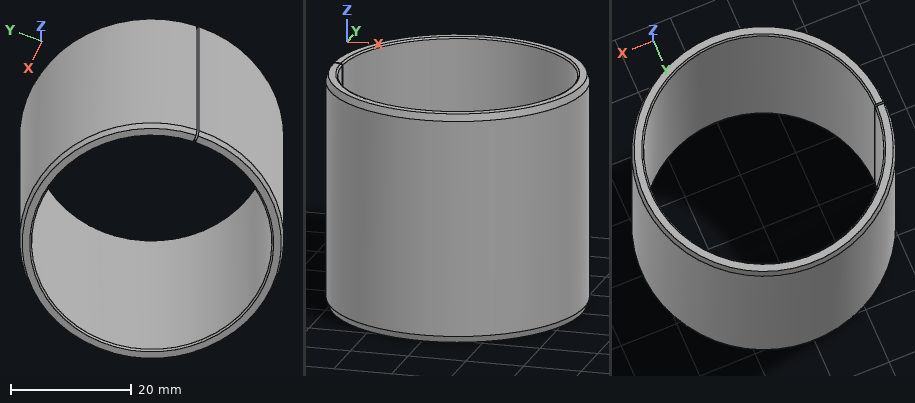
import cadquery as cq
import math

outer_diameter = 44.0
length = 40.0
inner_diameter = 40.0

taper_length = 1.2
taper_angle = 20.0
taper_depth = taper_length * math.tan(math.radians(taper_angle))

bore_bevel = 0.3

slit_angle = 1.0

outer_radius = outer_diameter / 2
inner_radius = inner_diameter / 2


def make_sleeve():
    """Revolve the (radius, height) wall section about Z from -X, stopping short by the slit."""
    wall_section = [
        (inner_radius + bore_bevel, 0),
        (outer_radius - taper_depth, 0),
        (outer_radius, taper_length),
        (outer_radius, length - taper_length),
        (outer_radius - taper_depth, length),
        (inner_radius + bore_bevel, length),
        (inner_radius, length - bore_bevel),
        (inner_radius, bore_bevel),
    ]
    section = cq.Workplane("XZ").polyline([(-radius, height) for radius, height in wall_section])
    return section.close().revolve(360 - slit_angle, (0, 0), (0, 1))


result = make_sleeve()